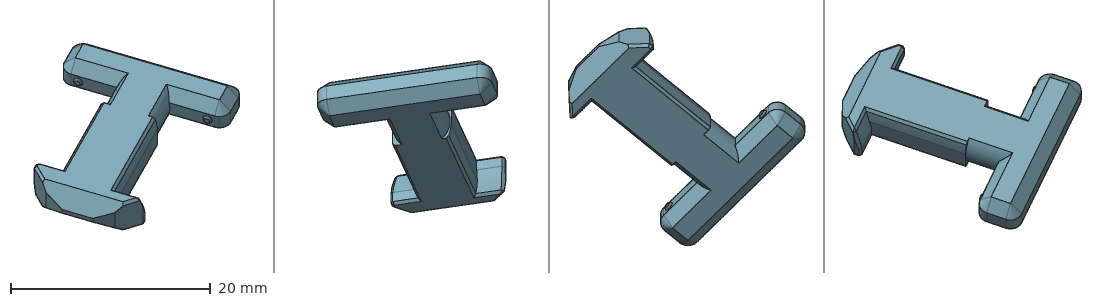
import cadquery as cq
import math

length = 21.9
width = 18.0
thickness = 4.0
half_thickness = thickness / 2

bar_depth = 4.51
bar_corner_radius = 1.23
bar_chamfer = 1.2
bar_front = length - bar_depth

pip_spacing = 14.02
pip_base_radius = 0.5
pip_rim_radius = 0.42
pip_top_radius = 0.33
pip_rim_height = 0.1
pip_height = 0.25

neck_half_width = 2.93
neck_flat_half_width = 2.05
neck_start = 13.86

edge_chamfer = 0.28
stem_half_width = 3.05
side_relief = 0.26
side_relief_start = -0.5

hook_half_width = 5.9
hook_back = 3.75
hook_corner_cut = 0.25
hook_side_end = 3.0
hook_bend_x = 3.72
hook_bend_y = 0.83
tip_half_width = 1.66
tip_half_height = 0.26
back_relief = 0.7
back_relief_start = 0.64

mid_relief = 0.4

upper_edge = half_thickness - edge_chamfer
lower_edge = -upper_edge


def turned_over(shape):
    """Copy of a shape turned half a revolution about the Y axis."""
    return shape.rotate((0, 0, 0), (0, 1, 0), 180)


def relieved_slab(outward, distance, relief, start, span):
    """Slab from the Z axis out to a wall, chamfered above and curving inwards below.

    outward is the horizontal direction the wall faces, distance is how far out it
    stands, and the curve begins at height start and ends inset by relief. span gives
    the two ends of the slab along the wall.
    """
    out_x, out_y = outward
    plane = cq.Plane(origin=(0, 0, 0), xDir=(out_x, out_y, 0), normal=(out_y, -out_x, 0))
    foot = distance - relief
    middle = (start + lower_edge) / 2
    return (
        cq.Workplane(plane)
        .workplane(offset=span[0])
        .moveTo(0, half_thickness)
        .lineTo(distance - edge_chamfer, half_thickness)
        .lineTo(distance, upper_edge)
        .lineTo(distance, start)
        .threePointArc((distance - mid_relief * relief, middle), (foot, lower_edge))
        .lineTo(foot - edge_chamfer, -half_thickness)
        .lineTo(0, -half_thickness)
        .close()
        .extrude(span[1] - span[0])
    )


def make_crossbar():
    return (
        cq.Workplane("XY")
        .box(width, bar_depth, thickness)
        .edges("|Z")
        .fillet(bar_corner_radius)
        .faces("<Z or >Z")
        .chamfer(bar_chamfer)
        .translate((0, length - bar_depth / 2, 0))
    )


def make_pip(x):
    return (
        cq.Workplane("XY")
        .lineTo(pip_base_radius, 0)
        .lineTo(pip_rim_radius, -pip_rim_height)
        .lineTo(pip_top_radius, -pip_height)
        .lineTo(0, -pip_height)
        .close()
        .revolve(360, (0, 0, 0), (0, 1, 0))
        .translate((x, bar_front, 0))
    )


def make_neck():
    neck_end = length - bar_depth / 2
    return (
        cq.Workplane("XZ", origin=(0, neck_end, 0))
        .moveTo(-neck_flat_half_width, half_thickness)
        .lineTo(neck_flat_half_width, half_thickness)
        .threePointArc((neck_half_width, 0), (neck_flat_half_width, -half_thickness))
        .lineTo(-neck_flat_half_width, -half_thickness)
        .threePointArc((-neck_half_width, 0), (-neck_flat_half_width, half_thickness))
        .close()
        .extrude(neck_end - neck_start)
    )


def make_stem():
    span = (hook_side_end - edge_chamfer, neck_start)
    left = relieved_slab((-1, 0), stem_half_width, side_relief, side_relief_start, span)
    return left.union(turned_over(left))


def make_hook():
    plan = (
        cq.Workplane("XY", origin=(0, 0, -half_thickness))
        .moveTo(-hook_half_width, hook_back)
        .lineTo(-hook_half_width, hook_side_end)
        .lineTo(-hook_bend_x, hook_bend_y)
        .lineTo(-tip_half_width, 0)
        .lineTo(tip_half_width, 0)
        .lineTo(hook_bend_x, hook_bend_y)
        .lineTo(hook_half_width, hook_side_end)
        .lineTo(hook_half_width, hook_back)
        .close()
        .extrude(thickness)
        .faces("<Z or >Z")
        .chamfer(edge_chamfer)
    )
    wedge_length = half_thickness - tip_half_height
    wedge = (
        cq.Workplane("YZ")
        .moveTo(0, -tip_half_height)
        .lineTo(0, tip_half_height)
        .lineTo(wedge_length, half_thickness)
        .lineTo(hook_back, half_thickness)
        .lineTo(hook_back, -half_thickness)
        .lineTo(wedge_length, -half_thickness)
        .close()
        .extrude(hook_half_width, both=True)
    )
    side = relieved_slab((-1, 0), hook_half_width, side_relief, side_relief_start, (0, hook_back))
    back = relieved_slab((0, 1), hook_back, back_relief, back_relief_start, (-hook_half_width, 0))
    corner_distance = (hook_half_width + hook_back - hook_corner_cut) / math.sqrt(2)
    corner_relief = (side_relief + back_relief) / math.sqrt(2)
    corner_span = (-hook_half_width, hook_half_width)
    corner = relieved_slab((-1, 1), corner_distance, corner_relief, back_relief_start, corner_span)

    left = plan.intersect(wedge).intersect(side).intersect(back).intersect(corner)
    return left.union(turned_over(left))


result = make_crossbar().union(make_neck()).union(make_stem()).union(make_hook())
for pip_x in (-pip_spacing / 2, pip_spacing / 2):
    result = result.union(make_pip(pip_x))